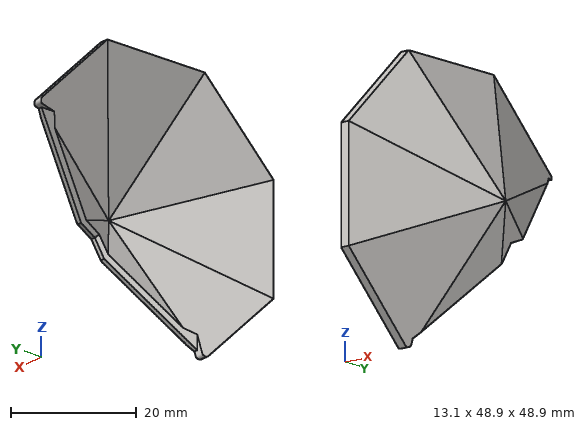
import cadquery as cq
import math

sides = 8
total_depth = 13.1
wall_along_axis = 1.6
pyramid_height = total_depth - wall_along_axis
half_sector = math.pi / sides

apothem = 24.75
circumradius = apothem / math.cos(half_sector)
half_side = apothem * math.tan(half_sector)
flank = 10.05
outer_size = 48.9
tip_corner = apothem + half_side - flank
tip_radius = (tip_corner + apothem - outer_size) / math.sqrt(2)

roof_shift = 11.2
notch_reach = 7.5
edge_reach = 8.95
edge_start = 3.4
beyond = 2 * outer_size


def pyramid(base_x):
    """Octagonal pyramid with its base at base_x and its apex toward +X."""
    angles = [(2 * i + 1) * half_sector for i in range(sides)]
    rim = [cq.Vector(base_x, circumradius * math.cos(a), circumradius * math.sin(a)) for a in angles]
    apex = cq.Vector(base_x + pyramid_height, 0, 0)
    faces = [cq.Face.makeFromWires(cq.Wire.makePolygon(rim, close=True))]
    for i in range(sides):
        triangle = [rim[i], rim[(i + 1) % sides], apex]
        faces.append(cq.Face.makeFromWires(cq.Wire.makePolygon(triangle, close=True)))
    return cq.Workplane(obj=cq.Solid.makeSolid(cq.Shell.makeShell(faces)))


def pyramid_shell():
    """Pyramid on a straight rim band, hollowed by the same pyramid."""
    rim_band = (
        cq.Workplane("YZ")
        .transformed(rotate=(0, 0, math.degrees(half_sector)))
        .polygon(sides, 2 * circumradius)
        .extrude(wall_along_axis)
    )
    return rim_band.union(pyramid(wall_along_axis)).cut(pyramid(0))


def bevel_wedge(plane, direction):
    """Everything under a plane parallel to one pyramid facet, up to the line of the pointed end.

    direction is the sign, along the plane's second axis, toward the pointed end.
    """
    def facet_x(distance):
        return pyramid_height * (1 - (roof_shift + distance) / apothem)

    profile = [
        (facet_x(flank), direction * flank),
        (facet_x(-beyond), -direction * beyond),
        (-beyond, -direction * beyond),
        (-beyond, direction * flank),
    ]
    return cq.Workplane(plane).polyline(profile).close().extrude(beyond, both=True)


def bevel():
    return bevel_wedge("XZ", 1).intersect(bevel_wedge("XY", -1))


def edge_trim():
    """Prism along X that cuts the outline of the trimmed edge and the flanks of the pointed ends."""
    def place(reach, across):
        diagonal = math.sqrt(0.5)
        return (diagonal * (reach + across), diagonal * (across - reach))

    edge_end = math.sqrt(2) * flank + edge_reach
    outline = [
        place(edge_reach, -edge_end),
        place(edge_reach, -edge_start),
        place(notch_reach, 0),
        place(edge_reach, edge_start),
        place(edge_reach, edge_end),
        (beyond, flank),
        (beyond, -beyond),
        (-flank, -beyond),
    ]
    return cq.Workplane("YZ").polyline(outline).close().extrude(beyond, both=True)


def tip_waste(place):
    """Corner material outside the tip rounding; place maps the +Y end's points onto an end."""
    diagonal = math.sqrt(0.5)
    tangent = tip_radius / math.tan(half_sector)
    centre_y = tip_corner - tangent
    centre_z = flank + tip_radius
    arc_middle = (centre_y + tip_radius * math.cos(half_sector), centre_z - tip_radius * math.sin(half_sector))
    return (
        cq.Workplane("YZ")
        .moveTo(*place(centre_y, flank))
        .threePointArc(place(*arc_middle), place(tip_corner - diagonal * tangent, flank + diagonal * tangent))
        .lineTo(*place(tip_corner, flank))
        .close()
        .extrude(beyond, both=True)
    )


def upper_end(y, z):
    return (y, z)


def lower_end(y, z):
    return (-z, -y)


result = pyramid_shell().cut(bevel()).cut(edge_trim())
for end in (upper_end, lower_end):
    result = result.cut(tip_waste(end))